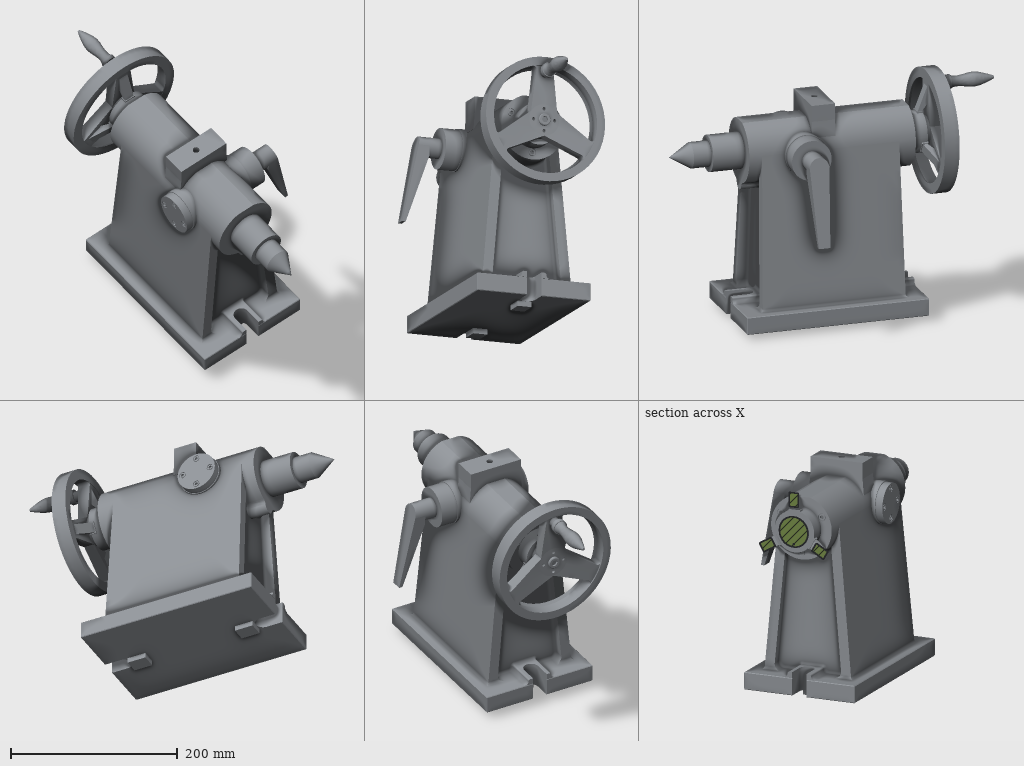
import cadquery as cq
import math


axis_height = 209.5
barrel_diameter = 80.0
barrel_radius = barrel_diameter / 2
barrel_start, barrel_end = -108.8, 101.5
barrel_flat_height = 38.0
cover_diameter, cover_start = 52.0, -128.5
quill_diameter, quill_end = 45.0, 141.2
center_diameter, center_shoulder, center_tip = 32.0, 163.5, 190.0
lug_diameter, lug_drop, lug_length, lug_fillet = 18.0, 40.2, 33.0, 6.5

base_length, base_width, base_thickness = 230.0, 146.0, 21.8
base_edge_chamfer = 1.0
pad_height, pad_width, pad_start, pad_end = 6.5, 18.0, 60.5, 84.0
slot_width, slot_depth = 19.0, 30.8
boss_width, boss_edge_radius, boss_foot_radius = 31.0, 2.0, 5.5
boss_height = boss_edge_radius + boss_foot_radius

column_side_angle = 5.2
column_foot_half_length = 90.5
column_top_start, column_top_end = -88.0, 85.5
wall_thickness = 12.7
web_half_length = 76.0
pocket_corner_fillet, pocket_web_fillet = 7.5, 3.3
foot_fillet = 3.3

block_start, block_end = -8.5, 21.0
block_top, block_bend, block_bottom = 58.3, barrel_flat_height, 18.0
block_top_half_width, block_bottom_half_width = 34.5, 36.0
block_hole_diameter, block_hole_depth = 8.2, 12.5

cross_x = 31.0
cross_diameter, cross_half_length = 52.0, 44.5
cap_diameter, front_cap_end, rear_cap_end = 50.0, 53.8, 65.5
cap_screw_circle_radius = 18.5
lever_head_diameter, lever_shaft_end = 24.5, 90.5
lever_tip_width, lever_drop, lever_reach = 14.5, 95.2, 115.0
lever_tip_thickness = 4.5
lever_root_inner, lever_top_outer = 81.5, 93.0

wheel_radius, wheel_front, wheel_back = 76.8, -152.0, -133.5
rim_inner_radius, rim_lip_radius, rim_lip_start = 66.5, 64.0, -137.0
hub_diameter, hub_front = 38.0, -147.5
spoke_rim_front, spoke_back = -150.2, -134.2
spoke_root_width, spoke_rim_width = 36.0, 18.0
spoke_angles = (90, 210, 330)
window_corner_fillet = 3.5
hub_hole_diameter, hub_hole_depth, hub_hole_radius = 4.0, 4.0, 13.5
hub_screw_diameter, hub_screw_height, hub_screw_chamfer = 14.8, 3.3, 1.0
hub_socket_diameter, hub_socket_depth = 8.2, 2.5

strut_width, strut_start = 12.5, -138.5
strut_outer_radius, strut_inner_radius = 57.5, 41.0
strut_end_radius, strut_end_front, strut_end_back = 27.0, -128.0, -122.5
strut_foot_width, strut_foot_radius, strut_foot_front, strut_foot_back = 14.8, 24.0, -129.5, -121.0

handle_radius = 58.3
handle_tip, collar_start, collar_end = -220.5, -164.5, -159.0
collar_diameter, stem_diameter = 18.0, 13.0
grip_tip_radius = 1.5
grip_curve = [(-208.5, 6.0), (-194.5, 9.0), (-175.5, 6.5), (collar_start, 8.2)]

face_screw_diameter, face_screw_radius = 10.0, 31.0
cap_screw_diameter = 8.5
screw_recess, screw_gap = 1.2, 1.0
socket_ratio = 0.5


def cylinder_x(diameter, start, end, y=0.0, z=axis_height):
    return cq.Workplane("YZ", origin=(start, y, z)).circle(diameter / 2).extrude(end - start)


def cylinder_y(diameter, start, end, x=cross_x, z=axis_height):
    return cq.Workplane("XZ", origin=(x, start, z)).circle(diameter / 2).extrude(start - end)


def socket_screw_cut(diameter):
    """Ring gap and hexagon socket of a flush screw, cut along +Z from Z = 0."""
    ring = cq.Workplane("XY").circle(diameter / 2).circle(diameter / 2 - screw_gap).extrude(screw_recess)
    socket = cq.Workplane("XY").polygon(6, diameter * socket_ratio).extrude(2 * screw_recess)
    return ring.union(socket)


def make_base():
    base = (
        cq.Workplane("XY")
        .box(base_length, base_width, base_thickness, centered=(True, True, False))
        .edges()
        .chamfer(base_edge_chamfer)
    )
    for side in (-1, 1):
        pad = cq.Workplane("XY").box(pad_end - pad_start, pad_width, pad_height)
        base = base.union(pad.translate((side * (pad_start + pad_end) / 2, 0, -pad_height / 2)))
    return base


def column_half_width(z):
    """Half width of the column, whose sides are tangent to the barrel."""
    angle = math.radians(column_side_angle)
    return barrel_radius / math.cos(angle) + (axis_height - z) * math.tan(angle)


def make_column():
    top = axis_height + barrel_radius * math.sin(math.radians(column_side_angle))
    foot = base_thickness
    section = cq.Workplane("YZ").polyline([
        (-column_half_width(foot), foot),
        (column_half_width(foot), foot),
        (column_half_width(top), top),
        (-column_half_width(top), top),
    ]).close().extrude(base_length / 2, both=True)
    outline = cq.Workplane("XZ").polyline([
        (-column_foot_half_length, foot),
        (column_foot_half_length, foot),
        (column_top_end, top),
        (column_top_start, top),
    ]).close().extrude(base_width / 2, both=True)
    return section.intersect(outline)


def make_slot_boss():
    """Raised rib around the clamping slot, flared at its foot and running the full base length."""
    half = boss_width / 2
    flare = half + boss_foot_radius
    crown = half - boss_edge_radius
    middle = base_thickness + boss_foot_radius
    top = base_thickness + boss_height
    foot_bulge = boss_foot_radius * (1 - math.sqrt(0.5))
    edge_bulge = boss_edge_radius * (1 - math.sqrt(0.5))
    return (
        cq.Workplane("YZ")
        .moveTo(-flare, base_thickness)
        .threePointArc((-half - foot_bulge, base_thickness + foot_bulge), (-half, middle))
        .threePointArc((-half + edge_bulge, top - edge_bulge), (-crown, top))
        .lineTo(crown, top)
        .threePointArc((half - edge_bulge, top - edge_bulge), (half, middle))
        .threePointArc((half + foot_bulge, base_thickness + foot_bulge), (flare, base_thickness))
        .close()
        .extrude(base_length / 2, both=True)
    )


def make_pocket():
    """Recess in the -X end of the column, between the side walls and below the barrel."""
    low = column_half_width(base_thickness) - wall_thickness
    high = column_half_width(axis_height) - wall_thickness
    depth = base_length / 2 - web_half_length
    pocket = cq.Workplane("YZ", origin=(-base_length / 2, 0, 0)).polyline([
        (-low, base_thickness),
        (low, base_thickness),
        (high, axis_height),
        (-high, axis_height),
    ]).close().extrude(depth)
    pocket = pocket.edges("|X and <Z").fillet(pocket_corner_fillet)
    pocket = pocket.cut(cylinder_x(barrel_diameter, -base_length, base_length))
    pocket = pocket.cut(make_slot_boss())
    return pocket.faces(">X").edges().fillet(pocket_web_fillet)


def make_slot():
    end_center = -base_length / 2 + slot_depth - slot_width / 2
    height = base_thickness + boss_height
    straight = cq.Workplane("XY").box(
        base_length, slot_width, height, centered=(True, True, False)
    ).translate((end_center - base_length / 2, 0, 0))
    return straight.union(cq.Workplane("XY").center(end_center, 0).circle(slot_width / 2).extrude(height))


def make_pedestal():
    column = make_column()
    pedestal = make_base().union(column)
    foot_edges = cq.selectors.BoxSelector(
        (-base_length / 2 + foot_fillet, -base_width / 2 + foot_fillet, base_thickness - base_edge_chamfer),
        (base_length / 2 - foot_fillet, base_width / 2 - foot_fillet, base_thickness + base_edge_chamfer),
    )
    pedestal = pedestal.edges(foot_edges).fillet(foot_fillet)
    pocket = make_pocket()
    slot = make_slot()
    pedestal = pedestal.cut(pocket).cut(pocket.mirror("YZ"))
    pedestal = pedestal.union(make_slot_boss())
    return pedestal.cut(slot).cut(slot.mirror("YZ"))


def make_lug():
    """Round rib under the +X end of the barrel, blended into it on both sides."""
    start = barrel_end - lug_length
    lug = cylinder_x(lug_diameter, start, barrel_end, z=axis_height - lug_drop)
    body = cylinder_x(barrel_diameter, start, barrel_end).union(lug)
    crease = cq.selectors.BoxSelector(
        (start, -lug_diameter, axis_height - lug_drop - lug_diameter / 4),
        (barrel_end, lug_diameter, axis_height - barrel_radius / 2),
    )
    blended = body.edges("|X").edges(crease).fillet(lug_fillet)
    below_axis = cq.Workplane("XY").box(base_length, base_width, axis_height, centered=(True, True, False))
    return blended.intersect(below_axis)


def make_barrel():
    barrel = cylinder_x(barrel_diameter, barrel_start, barrel_end)
    flat = cq.Workplane("XY").box(4 * base_length, base_width, barrel_radius, centered=(True, True, False))
    barrel = barrel.cut(flat.translate((0, 0, axis_height + barrel_flat_height)))
    barrel = barrel.union(make_lug())
    barrel = barrel.union(cylinder_x(cover_diameter, cover_start, barrel_start))
    barrel = barrel.union(cylinder_x(quill_diameter, barrel_end, quill_end))
    center = cq.Workplane("XZ", origin=(0, 0, axis_height)).polyline([
        (quill_end, 0),
        (quill_end, center_diameter / 2),
        (center_shoulder, center_diameter / 2),
        (center_tip, 0),
    ]).close().revolve(360, (0, 0, 0), (1, 0, 0))
    barrel = barrel.union(center)
    screw = socket_screw_cut(face_screw_diameter).rotate((0, 0, 0), (0, 1, 0), 90)
    for angle in (30, 150, 270):
        y = face_screw_radius * math.cos(math.radians(angle))
        z = face_screw_radius * math.sin(math.radians(angle))
        barrel = barrel.cut(screw.translate((barrel_start, y, axis_height + z)))
    return barrel


def make_block():
    block = cq.Workplane("YZ", origin=(block_start, 0, axis_height)).polyline([
        (-block_top_half_width, block_top),
        (block_top_half_width, block_top),
        (block_top_half_width, block_bend),
        (block_bottom_half_width, block_bottom),
        (-block_bottom_half_width, block_bottom),
        (-block_top_half_width, block_bend),
    ]).close().extrude(block_end - block_start)
    top = block.faces(">Z").workplane(centerOption="CenterOfBoundBox")
    return top.hole(block_hole_diameter, block_hole_depth)


def make_cross_shaft():
    shaft = cylinder_y(cross_diameter, -cross_half_length, cross_half_length)
    shaft = shaft.union(cylinder_y(cap_diameter, -front_cap_end, -cross_half_length))
    shaft = shaft.union(cylinder_y(cap_diameter, cross_half_length, rear_cap_end))
    screw = socket_screw_cut(cap_screw_diameter).rotate((0, 0, 0), (1, 0, 0), -90)
    for angle in (0, 90, 180, 270):
        x = cap_screw_circle_radius * math.cos(math.radians(angle))
        z = cap_screw_circle_radius * math.sin(math.radians(angle))
        shaft = shaft.cut(screw.translate((cross_x + x, -front_cap_end, axis_height + z)))
    return shaft


def make_lever():
    head_radius = lever_head_diameter / 2
    side = cq.Workplane("YZ", origin=(cross_x, 0, axis_height)).polyline([
        (lever_root_inner, head_radius),
        (lever_top_outer, head_radius),
        (lever_reach, -lever_drop),
        (lever_reach - lever_tip_thickness, -lever_drop),
        (lever_root_inner, -head_radius),
    ]).close().extrude(head_radius, both=True)
    face = (
        cq.Workplane("XZ", origin=(cross_x, 0, axis_height))
        .moveTo(-head_radius, 0)
        .threePointArc((0, head_radius), (head_radius, 0))
        .lineTo(lever_tip_width / 2, -lever_drop)
        .lineTo(-lever_tip_width / 2, -lever_drop)
        .close()
        .extrude(-2 * lever_reach)
    )
    return side.intersect(face).union(cylinder_y(lever_head_diameter, rear_cap_end, lever_shaft_end))


def around_axis(shape, angle):
    """Turn a shape built along +Z about the spindle axis and lift it to the axis height."""
    return shape.rotate((0, 0, 0), (1, 0, 0), angle - 90).translate((0, 0, axis_height))


def make_wheel_windows():
    """Openings between the spokes, rounded where the spokes meet the rim."""
    depth = wheel_back - wheel_front
    windows = cylinder_x(2 * rim_inner_radius, wheel_front, wheel_back)
    for angle in spoke_angles:
        spoke = cq.Workplane("YZ", origin=(wheel_front, 0, 0)).polyline([
            (-spoke_root_width / 2, 0),
            (spoke_root_width / 2, 0),
            (spoke_rim_width / 2, wheel_radius),
            (-spoke_rim_width / 2, wheel_radius),
        ]).close().extrude(depth)
        windows = windows.cut(around_axis(spoke, angle))
    windows = windows.cut(cylinder_x(hub_diameter, wheel_front, wheel_back))

    def at_rim(edge):
        center = edge.Center()
        return math.hypot(center.y, center.z - axis_height) > (hub_diameter + rim_inner_radius) / 2

    return windows.edges("|X").filter(at_rim).fillet(window_corner_fillet)


def make_strut():
    """Slanted bar behind a spoke, with a wider foot sunk into the cover."""
    bar = cq.Workplane("XZ").polyline([
        (strut_start, strut_outer_radius),
        (spoke_back, strut_outer_radius),
        (strut_end_back, strut_end_radius),
        (strut_end_front, strut_end_radius),
        (strut_start, strut_inner_radius),
    ]).close().extrude(strut_width / 2, both=True)
    foot = cq.Workplane("XZ").polyline([
        (strut_foot_front, strut_foot_radius),
        (strut_foot_front, strut_end_radius),
        (strut_foot_back, strut_end_radius),
        (strut_foot_back, strut_foot_radius),
    ]).close().extrude(strut_foot_width / 2, both=True)
    return bar.union(foot)


def make_hub_screw():
    head = cylinder_x(hub_screw_diameter, hub_front - hub_screw_height, hub_front)
    head = head.faces("<X").chamfer(hub_screw_chamfer)
    return head.faces("<X").workplane().polygon(6, hub_socket_diameter).cutBlind(-hub_socket_depth)


def make_handwheel():
    hub_radius = hub_diameter / 2
    wheel = cq.Workplane("XZ", origin=(0, 0, axis_height)).polyline([
        (hub_front, 0),
        (hub_front, hub_radius),
        (spoke_rim_front, rim_inner_radius),
        (wheel_front, rim_inner_radius),
        (wheel_front, wheel_radius),
        (wheel_back, wheel_radius),
        (wheel_back, rim_inner_radius),
        (spoke_back, rim_inner_radius),
        (spoke_back, hub_radius),
        (cover_start, hub_radius),
        (cover_start, 0),
    ]).close().revolve(360, (0, 0, 0), (1, 0, 0))
    wheel = wheel.cut(make_wheel_windows())
    lip = cq.Workplane("XZ", origin=(0, 0, axis_height)).polyline([
        (rim_lip_start, rim_inner_radius),
        (wheel_back, rim_inner_radius),
        (wheel_back, rim_lip_radius),
    ]).close().revolve(360, (0, 0, 0), (1, 0, 0))
    wheel = wheel.union(lip)
    hole_end = hub_front + hub_hole_depth
    for angle in spoke_angles:
        wheel = wheel.union(around_axis(make_strut(), angle))
    for angle in (0, 90, 180, 270):
        y = hub_hole_radius * math.cos(math.radians(angle))
        z = axis_height + hub_hole_radius * math.sin(math.radians(angle))
        wheel = wheel.cut(cylinder_x(hub_hole_diameter, hub_front, hole_end, y, z))
    return wheel.union(make_hub_screw())


def make_handle():
    stem_radius, collar_radius = stem_diameter / 2, collar_diameter / 2
    return (
        cq.Workplane("XZ", origin=(0, 0, axis_height + handle_radius))
        .moveTo(handle_tip, 0)
        .lineTo(handle_tip, grip_tip_radius)
        .spline(grip_curve, includeCurrent=True)
        .lineTo(collar_start, collar_radius)
        .lineTo(collar_end, collar_radius)
        .lineTo(collar_end, stem_radius)
        .lineTo(spoke_back, stem_radius)
        .lineTo(spoke_back, 0)
        .close()
        .revolve(360, (0, 0, 0), (1, 0, 0))
    )


result = make_pedestal()
for feature in (
    make_barrel(),
    make_block(),
    make_cross_shaft(),
    make_lever(),
    make_handwheel(),
    make_handle(),
):
    result = result.union(feature)